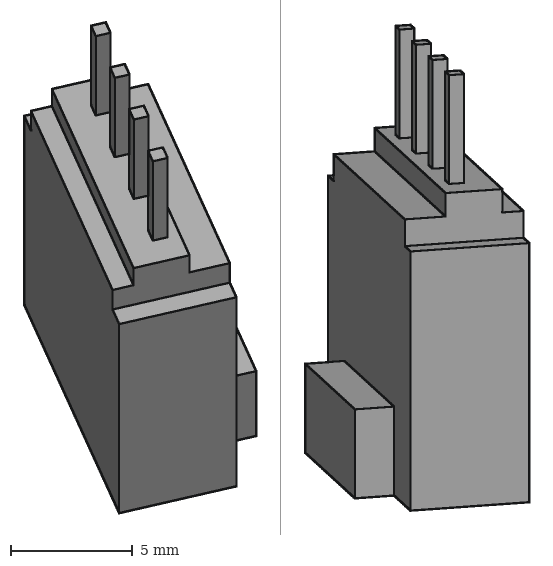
import cadquery as cq

body_width = 12.7
body_depth = 5.07
shoulder_height = 11.02

shoulder_width = 0.89
neck_width = body_width - 2 * shoulder_width
neck_top = 12.16
ridge_front = 0.9
ridge_depth = 2.42
ridge_top = 13.15

overall_depth = 6.74
block_width = 7.65
block_height = 3.79

pin_count = 4
pin_pitch = 2.55
pin_size = 0.64
row_center_x = 0.05
pin_center_y = 2.47
pin_top = 17.78


def centred_box(width, front, back, bottom, top):
    """Box centred on X, spanning the given Y and Z limits."""
    return (
        cq.Workplane("XY")
        .box(width, back - front, top - bottom, centered=(True, False, False))
        .translate((0, front, bottom))
    )


def pin(center_x):
    """Square pin standing on the ridge."""
    front = pin_center_y - pin_size / 2
    return centred_box(pin_size, front, front + pin_size, ridge_top, pin_top).translate((center_x, 0, 0))


body = centred_box(body_width, 0, body_depth, 0, shoulder_height)
neck = centred_box(neck_width, 0, body_depth, shoulder_height, neck_top)
ridge = centred_box(neck_width, ridge_front, ridge_front + ridge_depth, neck_top, ridge_top)
block = centred_box(block_width, body_depth, overall_depth, 0, block_height)

result = body.union(neck).union(ridge).union(block)
for index in range(pin_count):
    center_x = row_center_x + (index - (pin_count - 1) / 2) * pin_pitch
    result = result.union(pin(center_x))